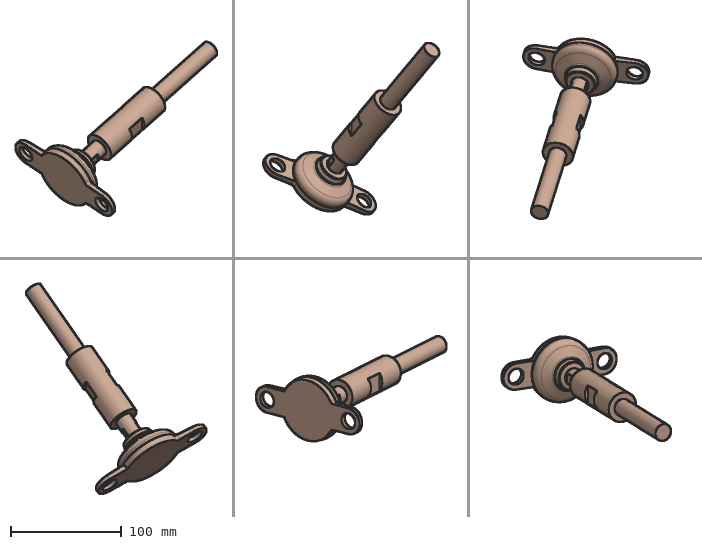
import cadquery as cq
import math


PAD_BOTTOM_R = 29.2
PAD_RIM_R = 30.0
PAD_RIM_Y = 6.3
DOME_R = 59.9 / 2
DOME_START_Y = 9.1
DOME_END_R = 25.4
DOME_END_Y = 15.5
NECK_FLARE_R = 16.5
NECK_FLARE_Y = 19.7
NECK_R = 14.8
NECK_Y = 21.1
NECK_TOP_Y = 22.1

FOOT_LENGTH = 116.0
LUG_R = 12.5
LUG_X = FOOT_LENGTH / 2 - LUG_R
LUG_TIP_THICKNESS = 4.0
LUG_ROOT_THICKNESS = 5.7
LUG_HOLE_D = 15.0
LUG_ROOT_FILLET = 4.0

COLLAR_R = 15.5
COLLAR_LIP_Y = 22.5
COLLAR_EDGE_R = 13.8
COLLAR_EDGE_Y = 27.2
COLLAR_CONE_R = 13.0
COLLAR_CONE_Y = 27.8
COLLAR_TOP_Y = 28.8
ROD_R = 16.0 / 2
ROD_TOP_Y = 203.0

SLEEVE_R = 28.0 / 2
SLEEVE_BOTTOM_Y = 49.5
SLEEVE_TOP_Y = 124.2
SLEEVE_FLAT_WIDTH = 22.0
SLEEVE_FLAT_LENGTH = 17.5
SLEEVE_FLAT_Y = (SLEEVE_BOTTOM_Y + SLEEVE_TOP_Y) / 2
ROD_FLAT_WIDTH = 13.0
ROD_FLAT_LENGTH = 9.3
ROD_FLAT_Y = 34.7


def revolve_about_y(profile):
    """Turn a closed (radius, y) profile about the Y axis."""
    return profile.close().revolve(360, (0, 0, 0), (0, 1, 0))


def cylinder_along_y(radius, start_y, end_y, x=0):
    """Cylinder parallel to Y between two heights."""
    return cq.Workplane("XZ", origin=(x, start_y, 0)).circle(radius).extrude(start_y - end_y)


def make_pad():
    """Conical base disc, and above it a domed top and a flared neck."""
    base = revolve_about_y(
        cq.Workplane("XY")
        .lineTo(PAD_BOTTOM_R, 0)
        .lineTo(PAD_RIM_R, PAD_RIM_Y)
        .lineTo(0, PAD_RIM_Y)
    )
    dome = revolve_about_y(
        cq.Workplane("XY")
        .moveTo(0, PAD_RIM_Y)
        .lineTo(DOME_R, PAD_RIM_Y)
        .lineTo(DOME_R, DOME_START_Y)
        .tangentArcPoint((DOME_END_R, DOME_END_Y), relative=False)
        .lineTo(NECK_FLARE_R, NECK_FLARE_Y)
        .tangentArcPoint((NECK_R, NECK_Y), relative=False)
        .lineTo(NECK_R, NECK_TOP_Y)
        .lineTo(0, NECK_TOP_Y)
    )
    return base, dome


def slope_lug_top(foot, base, side):
    """Cut the lug's top outside the base disc so that it falls towards the tip."""
    tip_x = FOOT_LENGTH / 2
    root_x = math.sqrt(PAD_BOTTOM_R**2 - LUG_R**2)
    wedge = (
        cq.Workplane("XY", origin=(0, 0, -LUG_R))
        .moveTo(side * root_x, PAD_RIM_Y)
        .lineTo(side * root_x, LUG_ROOT_THICKNESS)
        .lineTo(side * tip_x, LUG_TIP_THICKNESS)
        .lineTo(side * tip_x, PAD_RIM_Y)
        .close()
        .extrude(2 * LUG_R)
    )
    return foot.cut(wedge.cut(base))


def round_lug_roots(foot):
    """Fillet the two corners where the +X lug leaves the pad; the -X corners stay sharp."""
    root_r = (PAD_BOTTOM_R + PAD_RIM_R) / 2
    root_x = math.sqrt(root_r**2 - LUG_R**2)
    for side in (-1, 1):
        root = (root_x, PAD_RIM_Y / 2, side * LUG_R)
        foot = foot.edges(cq.selectors.NearestToPointSelector(root)).fillet(LUG_ROOT_FILLET)
    return foot


def make_foot():
    """Pad with two drilled fastening lugs."""
    base, dome = make_pad()
    lug_plate = cq.Workplane("XZ").slot2D(FOOT_LENGTH, 2 * LUG_R).extrude(-PAD_RIM_Y)
    foot = round_lug_roots(base.union(lug_plate))
    for side in (-1, 1):
        foot = slope_lug_top(foot, base, side)
        foot = foot.cut(cylinder_along_y(LUG_HOLE_D / 2, 0, PAD_RIM_Y, side * LUG_X))
    return foot.union(dome)


def cut_flats(body, radius, width, length, center_y):
    """Cut two opposite wrench flats facing -X and +X."""
    depth = radius - width / 2
    for side in (-1, 1):
        cutter = cq.Workplane("XY").box(depth, length, 2 * radius)
        body = body.cut(cutter.translate((side * (width + depth) / 2, center_y, 0)))
    return body


def make_spindle():
    """Rod with a collar resting on the foot neck and a sleeve with flats."""
    collar = revolve_about_y(
        cq.Workplane("XY")
        .moveTo(0, NECK_TOP_Y)
        .lineTo(COLLAR_R, NECK_TOP_Y)
        .lineTo(COLLAR_R, COLLAR_LIP_Y)
        .lineTo(COLLAR_EDGE_R, COLLAR_EDGE_Y)
        .lineTo(COLLAR_CONE_R, COLLAR_CONE_Y)
        .lineTo(ROD_R, COLLAR_TOP_Y)
        .lineTo(0, COLLAR_TOP_Y)
    )
    rod = cylinder_along_y(ROD_R, COLLAR_TOP_Y, ROD_TOP_Y)
    rod = cut_flats(rod, ROD_R, ROD_FLAT_WIDTH, ROD_FLAT_LENGTH, ROD_FLAT_Y)
    sleeve = cylinder_along_y(SLEEVE_R, SLEEVE_BOTTOM_Y, SLEEVE_TOP_Y)
    sleeve = cut_flats(sleeve, SLEEVE_R, SLEEVE_FLAT_WIDTH, SLEEVE_FLAT_LENGTH, SLEEVE_FLAT_Y)
    return collar.union(rod).union(sleeve)


foot = make_foot()
spindle = make_spindle()
result = cq.Compound.makeCompound([foot.solids().val(), spindle.solids().val()])